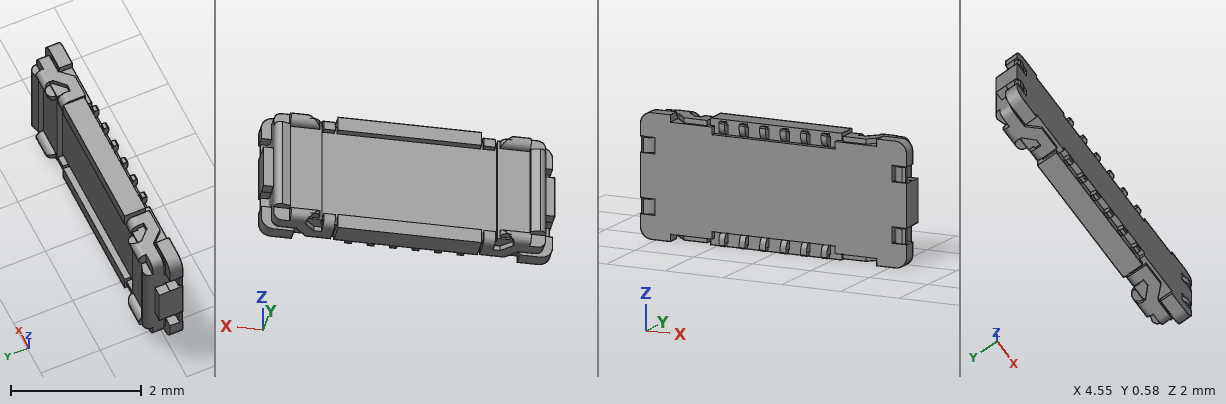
import cadquery as cq
import math

LENGTH = 4.55
WIDTH = 2.0
HALF_LENGTH = LENGTH / 2
HALF_WIDTH = WIDTH / 2
DEPTH = 0.58
FOOT_DROP = 0.02
TOP = DEPTH - FOOT_DROP

PLATE_TOP = 0.218
PLATE_CORNER = 0.19
CORNER_BLOCK_LENGTH = 0.512
CORE_HALF_WIDTH = 0.884
CORE_TOP = 0.344
STEP_INSET = 0.02
END_WALL_HALF_WIDTH = 0.35
END_WALL_TOP = 0.4
END_WALL_DEPTH = 0.2

WALL_HALF_LENGTH = 1.12
WALL_BOTTOM = 0.095
WALL_TOP = 0.45
RECESS_HALF_LENGTH = 1.052
RECESS_Z = 0.765

CONTACT_COUNT = 6
CONTACT_PITCH = 0.35
CONTACT_WIDTH = 0.1
CONTACT_TIP_Z = 0.98
CONTACT_TOP = 0.058

COVER_INSET = 0.153
COVER_BOTTOM = 0.245
COVER_TOP = 0.4375
COVER_HALF_WIDTH = 0.965
COVER_CORNER = 0.125
COVER_END = 0.657
END_BLOCK_END = 0.903
METAL = 0.08

LIP_RADIUS = 0.107
LIP_CENTER_Y = TOP - LIP_RADIUS
LIP_START = 0.4
LIP_END = 0.866
END_LIP_HALF_WIDTH = 0.745
END_LIP_INNER_TOP = 0.515

STRAP_END = 1.112
STRAP_BOTTOM = 0.0535
STRAP_BEND = 0.125
BEND_START = 0.934

FOOT_Z = 0.485
FOOT_WIDTH = 0.236
NOTCH_WIDTH = 0.26
NOTCH_DEPTH = 0.247

DIAGONAL = math.sqrt(0.5)

CROSS_PLANE = cq.Plane(origin=(0, 0, 0), xDir=(0, 0, -1), normal=(1, 0, 0))


def box(x0, x1, y0, y1, z0, z1):
    """Box between two opposite corners."""
    return cq.Workplane("XY").box(x1 - x0, y1 - y0, z1 - z0, centered=False).translate((x0, y0, z0))


def both_ends(shape):
    """Shape at the -X end together with its mirror image at the +X end."""
    return shape.union(shape.mirror("YZ"))


def both_sides(shape):
    """Shape on the +Z side together with its mirror image on the -Z side."""
    return shape.union(shape.mirror("XY"))


def at_end(inset):
    """X position at a distance inward from the -X end."""
    return inset - HALF_LENGTH


def rounded_slab(inset, half_width, y0, y1, corner):
    """Full-length slab with rounded corners, inset from both ends."""
    slab = box(at_end(inset), -at_end(inset), y0, y1, -half_width, half_width)
    return slab.edges("|Y").fillet(corner)


def make_housing():
    """Plate with side notches, contact recesses, foot notches and walls."""
    plate = rounded_slab(0, HALF_WIDTH, 0, PLATE_TOP, PLATE_CORNER)
    notch_x = at_end(CORNER_BLOCK_LENGTH)
    side_notch = box(notch_x, -notch_x, 0, PLATE_TOP, CORE_HALF_WIDTH, HALF_WIDTH)
    plate = plate.cut(both_sides(side_notch))

    step_inset = COVER_INSET + STEP_INSET
    step_half_width = COVER_HALF_WIDTH - STEP_INSET
    step = rounded_slab(step_inset, step_half_width, PLATE_TOP, COVER_BOTTOM, COVER_CORNER)
    step = step.cut(both_sides(side_notch.translate((0, PLATE_TOP, 0))))
    core_x = at_end(NOTCH_DEPTH)
    core = box(core_x, -core_x, 0, CORE_TOP, -CORE_HALF_WIDTH, CORE_HALF_WIDTH)
    housing = plate.union(step).union(core)

    recess = box(-RECESS_HALF_LENGTH, RECESS_HALF_LENGTH, 0, WALL_BOTTOM, RECESS_Z, HALF_WIDTH)
    notch = box(
        -HALF_LENGTH, core_x, 0, COVER_BOTTOM, FOOT_Z - NOTCH_WIDTH / 2, FOOT_Z + NOTCH_WIDTH / 2
    )
    housing = housing.cut(both_sides(recess)).cut(both_ends(both_sides(notch)))

    wall = box(-WALL_HALF_LENGTH, WALL_HALF_LENGTH, WALL_BOTTOM, WALL_TOP, RECESS_Z, HALF_WIDTH)
    end_wall = box(
        -HALF_LENGTH, at_end(END_WALL_DEPTH), 0, END_WALL_TOP, -END_WALL_HALF_WIDTH, END_WALL_HALF_WIDTH
    )
    return housing.union(both_sides(wall)).union(both_ends(end_wall))


def make_contacts():
    """Two rows of contact feet that curve down out of the recesses."""
    flat_z = 0.906
    bevel_z = 0.96
    neck_z = 0.93
    bend = WALL_BOTTOM + FOOT_DROP
    profile = (
        cq.Workplane("YZ")
        .moveTo(WALL_BOTTOM, RECESS_Z)
        .threePointArc(
            (WALL_BOTTOM - bend * DIAGONAL, flat_z - (flat_z - RECESS_Z) * DIAGONAL),
            (-FOOT_DROP, flat_z),
        )
        .lineTo(-FOOT_DROP, bevel_z)
        .lineTo(0, CONTACT_TIP_Z)
        .lineTo(CONTACT_TOP, CONTACT_TIP_Z)
        .lineTo(CONTACT_TOP, neck_z)
        .lineTo(WALL_BOTTOM, neck_z)
        .close()
    )
    foot = profile.extrude(CONTACT_WIDTH / 2, both=True)
    row = cq.Workplane("XY")
    for index in range(CONTACT_COUNT):
        x = (index - (CONTACT_COUNT - 1) / 2) * CONTACT_PITCH
        row = row.union(foot.translate((x, 0, 0)))
    return both_sides(row)


def make_cover():
    """Flat end cover with rounded outer corners and the lower block behind it."""
    cover = box(
        at_end(COVER_INSET), at_end(COVER_END), COVER_BOTTOM, COVER_TOP, -COVER_HALF_WIDTH, COVER_HALF_WIDTH
    )
    cover = cover.edges("|Y and <X").fillet(COVER_CORNER)
    block = box(
        at_end(COVER_INSET + METAL),
        at_end(END_BLOCK_END),
        COVER_BOTTOM,
        COVER_TOP,
        -CORE_HALF_WIDTH,
        CORE_HALF_WIDTH,
    )
    return cover.union(block)


def make_strap():
    """Cranked side strap whose inner end bends over toward the middle."""
    depth = COVER_HALF_WIDTH - CORE_HALF_WIDTH
    root = 0.4
    ledge_y = 0.23
    slope_top_y = 0.393
    upper_slope_end = 0.823
    lower_slope_start = 0.541
    lower_slope_end = 0.723
    bend_y = COVER_TOP - STRAP_BEND
    outline = [
        (root, COVER_TOP),
        (COVER_END, COVER_TOP),
        (COVER_END, slope_top_y),
        (upper_slope_end, ledge_y),
        (BEND_START, ledge_y),
        (BEND_START, bend_y),
        (STRAP_END, bend_y),
        (STRAP_END, STRAP_BOTTOM),
        (lower_slope_end, STRAP_BOTTOM),
        (lower_slope_start, COVER_BOTTOM),
        (root, COVER_BOTTOM),
    ]
    points = [(at_end(inset), y) for inset, y in outline]
    strap = cq.Workplane("XY").workplane(offset=CORE_HALF_WIDTH).polyline(points).close().extrude(depth)
    bend = (
        cq.Workplane("YZ")
        .workplane(offset=at_end(BEND_START))
        .moveTo(bend_y, RECESS_Z)
        .lineTo(COVER_TOP, RECESS_Z)
        .lineTo(COVER_TOP, COVER_HALF_WIDTH - STRAP_BEND)
        .radiusArc((bend_y, COVER_HALF_WIDTH), -STRAP_BEND)
        .close()
        .extrude(STRAP_END - BEND_START)
    )
    return strap.union(bend)


def lip_profile(plane, outer_edge):
    """Lip section with a semicircular top, starting at the given sketch position."""
    return (
        cq.Workplane(plane)
        .moveTo(outer_edge, COVER_TOP)
        .lineTo(outer_edge, LIP_CENTER_Y)
        .threePointArc((outer_edge + LIP_RADIUS, TOP), (outer_edge + 2 * LIP_RADIUS, LIP_CENTER_Y))
        .lineTo(outer_edge + 2 * LIP_RADIUS, COVER_TOP)
        .close()
    )


def make_lips():
    """Lips around one end: an end bar and two side bars with rounded tabs."""
    outer_x = at_end(COVER_INSET)
    start_x = at_end(LIP_START)
    tab_x = at_end(LIP_END) - LIP_RADIUS
    crest_z = COVER_HALF_WIDTH - LIP_RADIUS

    end_bar = (
        cq.Workplane("XY")
        .moveTo(outer_x, COVER_TOP)
        .lineTo(outer_x, LIP_CENTER_Y)
        .radiusArc((outer_x + LIP_RADIUS, TOP), LIP_RADIUS)
        .lineTo(start_x, END_LIP_INNER_TOP)
        .lineTo(start_x, COVER_TOP)
        .close()
        .extrude(END_LIP_HALF_WIDTH, both=True)
    )

    full_bar = lip_profile(CROSS_PLANE, -COVER_HALF_WIDTH).extrude(LIP_END - LIP_START)
    full_bar = full_bar.translate((start_x, 0, 0))
    tab_outline = lip_profile("XY", tab_x - LIP_RADIUS).extrude(crest_z)
    tab = full_bar.intersect(tab_outline)
    tab_zone = box(tab_x, at_end(LIP_END), COVER_TOP, TOP, 0, HALF_WIDTH)
    outer_relief = tab_outline.translate((0, 0, crest_z))
    side_bar = full_bar.cut(tab_zone).cut(outer_relief).union(tab)

    return end_bar.union(both_sides(side_bar))


def make_end_foot():
    """Leg dropping from the end cover and bending outward into a solder foot."""
    tip = 0.02
    foot_top = 0.06
    toe = 0.065
    heel = 0.11
    leg_outer = COVER_INSET
    leg_inner = leg_outer + METAL
    inner_bend = leg_outer - heel
    outer_bend = leg_inner - heel
    leg = (
        cq.Workplane("XY")
        .moveTo(leg_outer, COVER_TOP)
        .lineTo(leg_outer, foot_top + inner_bend)
        .threePointArc(
            (heel + inner_bend * DIAGONAL, foot_top + inner_bend * (1 - DIAGONAL)),
            (heel, foot_top),
        )
        .lineTo(tip, foot_top)
        .lineTo(tip, 0)
        .lineTo(toe, -FOOT_DROP)
        .lineTo(heel, -FOOT_DROP)
        .threePointArc(
            (heel + outer_bend * DIAGONAL, outer_bend * (1 - DIAGONAL) - FOOT_DROP),
            (leg_inner, outer_bend - FOOT_DROP),
        )
        .lineTo(leg_inner, COVER_TOP)
        .close()
        .extrude(FOOT_WIDTH / 2, both=True)
    )
    return leg.translate((-HALF_LENGTH, 0, FOOT_Z))


def make_metal_end():
    """Complete metal fitting of the -X end."""
    paired = both_sides(make_strap().union(make_end_foot()))
    return make_cover().union(make_lips()).union(paired)


result = make_housing().union(make_contacts()).union(both_ends(make_metal_end()))